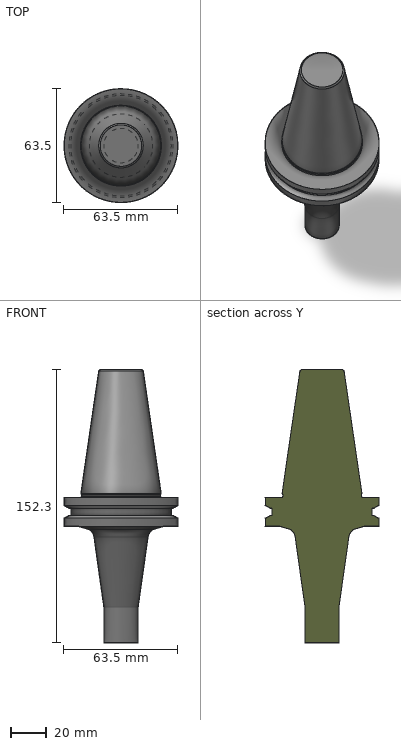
import cadquery as cq

total_height = 152.3

shank_radius = 19.2 / 2
shank_length = 20.1
nose_top_radius = 15.0
nose_top_z = 59.0
flare_radius = 17.7
flare_z = 63.0
flare_rim_radius = 23.9

flange_radius = 63.5 / 2
flange_top_z = total_height - 71.3
flange_thickness = 16.1
flange_bottom_z = flange_top_z - flange_thickness
rim_width = 4.5
groove_radius = 56.0 / 2
groove_flank_height = 1.5
groove_shoulder_radius = 29.0

neck_radius = 44.0 / 2
taper_large_radius = 22.4
taper_base_z = total_height - 69.1
undercut_height = 0.5
neck_foot_radius = 22.5
taper_ratio = 7 / 24
taper_top_radius = taper_large_radius - (total_height - taper_base_z) * taper_ratio / 2
tip_chamfer = 0.8


def make_profile():
    """Half section in the XZ plane, X being the radius."""
    lower_rim_z = flange_bottom_z + rim_width
    upper_rim_z = flange_top_z - rim_width
    profile = cq.Workplane("XZ").lineTo(shank_radius, 0)
    profile = (
        profile.lineTo(shank_radius, shank_length)
        .lineTo(nose_top_radius, nose_top_z)
        .tangentArcPoint((flare_radius, flare_z), relative=False)
        .lineTo(flare_rim_radius, flange_bottom_z)
    )
    profile = (
        profile.lineTo(flange_radius, flange_bottom_z)
        .lineTo(flange_radius, lower_rim_z)
        .lineTo(groove_shoulder_radius, lower_rim_z + groove_flank_height)
        .lineTo(groove_radius, lower_rim_z + groove_flank_height)
        .lineTo(groove_radius, upper_rim_z - groove_flank_height)
        .lineTo(groove_shoulder_radius, upper_rim_z - groove_flank_height)
        .lineTo(flange_radius, upper_rim_z)
        .lineTo(flange_radius, flange_top_z)
    )
    return (
        profile.lineTo(neck_foot_radius, flange_top_z)
        .lineTo(neck_radius, flange_top_z + undercut_height)
        .lineTo(neck_radius, taper_base_z - undercut_height)
        .lineTo(taper_large_radius, taper_base_z)
        .lineTo(taper_top_radius, total_height)
        .lineTo(0, total_height)
        .close()
    )


body = make_profile().revolve(360, (0, 0, 0), (0, 1, 0))
result = body.faces(">Z").edges().chamfer(tip_chamfer)